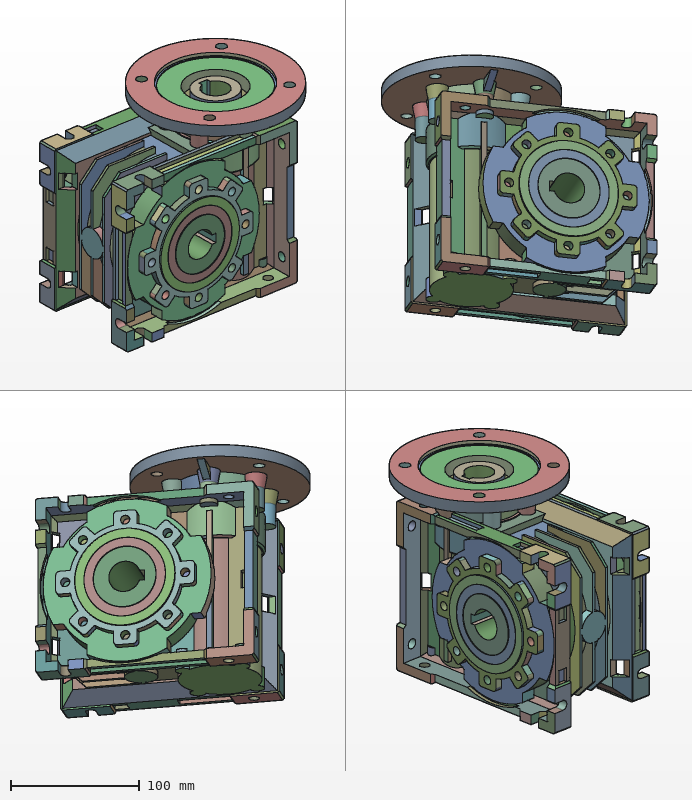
import cadquery as cq
import math


flange_diameter = 140.0
total_length = 205
total_height = 170.0
centre_distance = 63.0
flange_back = centre_distance + flange_diameter / 2
front_y = flange_back - total_length
half_height = 72.0
flange_top = total_height - half_height
back_y = 102.0

pad_step = 1.5
pad_x = 51.9
wall_x = 49.5
slope_x = 34.0
inner_x = 23.4
floor_x = 29.5
tray_front = front_y + pad_step
tray_back = back_y - pad_step
tray_half_height = half_height - pad_step
cavity_front = -63.7
cavity_back = 93.9
cavity_half_height = 63.7
cavity_slope = 4
back_pad_start = 62.0
front_pad_start = -31.4
pad_start_z = 32.0
bolt_diameter = 8.2
bolt_x = 42.8
bolt_offset = 50.0
back_bolt_y = 80
groove_width = 8.5
groove_x = 41.6
groove_depth = 3.0
groove_stop = 20.0
window_x = 32.8
window_z = 43.5
window_height = 14.3
front_window_y = -58.0
back_window_y = 86.5

cover_x = 47.5
lobe_back_x = 34.8
star_x = 54.0
hub_x = 55.5
shaft_x = 56.0
cover_radius = 60.0
cover_lobe_radius = 67.0
cover_recess_radius = 69.0
cover_recess_depth = 1.6
cover_lobe_width = 64.0
star_radius = 44.9
star_tip_radius = 55.3
star_lobe_width = 18.9
star_fillet = 3.0
cover_hole_radius = 47.8
cover_hole_diameter = 7.2
cover_hole_depth = 8.2
cover_hole_count = 8
hub_diameter = 80
seal_diameter = 65.0
seal_depth = 0.5
wheel_shaft_diameter = 50.0
wheel_bore_diameter = 25.0
key_width = 8.2
wheel_key_depth = 15.8

drum_radius = 57.4
fin_reach = 63.0
fin_corner = 16.5
fin_thickness = 2.5
fin_pitch = 14.0
plug_diameter = 26.0
roof_front = 16.8
roof_x = 26.5
drum_bottom = -51.9
keel_x = 21.1
keel_front = -18.5
keel_bottom = -58.8
fin_start_y = 0.6
worm_diameter = 65.2
worm_head_diameter = 70.5
worm_head_bottom = 34.6
worm_head_chamfer = 1.6
worm_rib_width = 4.7
worm_rib_x = 36.5
worm_rib_top = 56.4
worm_rib_bottom = -57.4
foot_radius = 6.1
foot_x = 25.0
foot_offset = 23.4
foot_top = -54.1

flange_thickness = 9.6
flange_bottom = flange_top - flange_thickness
neck_diameter = 65.2
neck_flare_diameter = 69.7
neck_step = 77.3
boss_count = 6
boss_circle_radius = 38.0
boss_radius = 7.0
boss_flare_radius = 9.0
boss_bottom = 60.3
gusset_tip = 65.5
gusset_thickness = 6.0
gusset_base = 79.0
spigot_diameter = 95.0
spigot_floor_diameter = 91.6
spigot_depth = 3.7
spigot_step = 0.8
pit_diameter = 53.5
pit_depth = 12.3
input_shaft_diameter = 40.0
input_shaft_drop = 2
input_bore_diameter = 24.0
input_key_depth = 15.0
input_bore_depth = 45
flange_bolt_radius = 57.5
flange_bolt_diameter = 9.0


def block(x, y, z):
    """Box from its (low, high) limits along each axis."""
    size = (x[1] - x[0], y[1] - y[0], z[1] - z[0])
    return cq.Workplane("XY").box(*size, centered=False).translate((x[0], y[0], z[0]))


def cylinder_x(radius, x0, x1):
    """Cylinder on the wheel axis."""
    return cq.Workplane("YZ").workplane(offset=x0).circle(radius).extrude(x1 - x0)


def cylinder_z(radius, z0, z1, x=0, y=centre_distance):
    """Vertical cylinder, on the worm axis unless placed elsewhere."""
    return cq.Workplane("XY").workplane(offset=z0).center(x, y).circle(radius).extrude(z1 - z0)


def cone_z(bottom_radius, top_radius, z0, z1, x=0, y=centre_distance):
    """Vertical truncated cone, on the worm axis unless placed elsewhere."""
    base = cq.Workplane("XY", origin=(x, y, z0)).circle(bottom_radius)
    return base.workplane(offset=z1 - z0).circle(top_radius).loft()


def tray_body():
    """Frame block, bevelled at 45 degrees on its inner side, with raised corner pads."""
    body = block((inner_x, wall_x), (tray_front, tray_back), (-tray_half_height, tray_half_height))
    body = body.faces("<X").chamfer(slope_x - inner_x)
    for side in (-1, 1):
        z_limits = sorted((side * pad_start_z, side * half_height))
        for y_limits, inner_end in (
            ((front_y, front_pad_start), ">Y"),
            ((back_pad_start, back_y), "<Y"),
        ):
            pad = block((slope_x, pad_x), y_limits, z_limits)
            pad = pad.edges("|X").chamfer(pad_step)
            pad = pad.faces(">X").edges(inner_end).chamfer(pad_x - wall_x)
            pad = pad.faces(">X").edges("<Z" if side > 0 else ">Z").chamfer(pad_x - wall_x)
            body = body.union(pad)
    return body


def tray_cavity():
    """Pocket open to the outside, narrowing at 45 degrees to its floor."""
    cavity = block(
        (floor_x, pad_x),
        (cavity_front, cavity_back),
        (-cavity_half_height, cavity_half_height),
    )
    return cavity.faces("<X").chamfer(cavity_slope)


def bolt_cuts():
    """Open slots at the front corners and round holes at the back corners."""
    radius = bolt_diameter / 2
    cuts = cylinder_z(radius, -half_height, half_height, bolt_x, back_bolt_y)
    cuts = cuts.union(cylinder_z(radius, -half_height, half_height, bolt_x, -bolt_offset))
    cuts = cuts.union(
        block(
            (bolt_x, pad_x),
            (-bolt_offset - radius, -bolt_offset + radius),
            (-half_height, half_height),
        )
    )
    for z in (-bolt_offset, bolt_offset):
        hole = cq.Workplane("XZ").center(bolt_x, z).circle(radius).extrude(back_y - front_y)
        cuts = cuts.union(hole.translate((0, back_y, 0)))
        cuts = cuts.union(
            block(
                (bolt_x, pad_x),
                (front_y, cavity_front),
                (z - radius, z + radius),
            )
        )
    return cuts


def windows():
    """Openings through the bevelled walls: two at the front, one at the back."""
    x_limits = (inner_x, window_x)
    half = window_height / 2
    cuts = block(x_limits, (back_window_y, back_y), (-half, half))
    for z in (-window_z, window_z):
        cuts = cuts.union(block(x_limits, (front_y, front_window_y), (z - half, z + half)))
    return cuts


def grooves(interrupted):
    """Grooves along the outside of the frame between pads, optionally broken beside the cover."""
    x_limits = (groove_x - groove_width / 2, groove_x + groove_width / 2)
    z_bottom = tray_half_height - groove_depth
    top = block(x_limits, (front_pad_start, back_pad_start), (z_bottom, half_height))
    front = block(
        x_limits,
        (front_y, tray_front + groove_depth),
        (-pad_start_z, pad_start_z),
    )
    cuts = top.union(top.mirror("XY")).union(front)
    if interrupted:
        stop = (-groove_stop, groove_stop)
        cuts = cuts.cut(block(x_limits, stop, (-half_height, half_height)))
        cuts = cuts.cut(block(x_limits, (front_y, 0), stop))
    return cuts


def lobes(radius, x0, x1):
    """Four round-ended lobes: a disc cut down to a cross."""
    half = cover_lobe_width / 2
    cross = block((x0, x1), (-half, half), (-radius, radius))
    cross = cross.union(block((x0, x1), (-radius, radius), (-half, half)))
    return cross.intersect(cylinder_x(radius, x0, x1))


def cover():
    """Output cover: lobed disc, eight-armed bolting star and hub."""
    disc = cylinder_x(cover_radius, floor_x, cover_x)
    disc = disc.union(lobes(cover_lobe_radius, lobe_back_x, cover_x))

    star = cylinder_x(star_radius, cover_x, star_x)
    arm = block(
        (cover_x, star_x),
        (0, star_tip_radius),
        (-star_lobe_width / 2, star_lobe_width / 2),
    )
    arm = arm.edges("|X and >Y").fillet(star_fillet)
    for index in range(cover_hole_count):
        angle = index * 360 / cover_hole_count
        star = star.union(arm.rotate((0, 0, 0), (1, 0, 0), angle))

    hub = cylinder_x(hub_diameter / 2, cover_x, hub_x)
    seal = cylinder_x(seal_diameter / 2, hub_x - seal_depth, hub_x)
    shaft = cylinder_x(wheel_shaft_diameter / 2, cover_x, shaft_x)
    holes = (
        cq.Workplane("YZ")
        .workplane(offset=star_x - cover_hole_depth)
        .polarArray(cover_hole_radius, 0, 360, cover_hole_count)
        .circle(cover_hole_diameter / 2)
        .extrude(cover_hole_depth)
    )
    return disc.union(star).cut(holes).union(hub).cut(seal).union(shaft)


def worm_side_details():
    """Worm housing rib and the two bottom bearing screw bosses."""
    half_rib = worm_rib_width / 2
    details = block(
        (floor_x, worm_rib_x),
        (centre_distance - half_rib, centre_distance + half_rib),
        (worm_rib_bottom, worm_rib_top),
    )
    for offset in (-foot_offset, foot_offset):
        foot = cylinder_z(foot_radius, -tray_half_height, foot_top, foot_x, centre_distance + offset)
        details = details.union(foot)
    return details


def side(interrupted):
    """Complete +X side: tray, worm details and cover."""
    tray = tray_body().cut(tray_cavity()).cut(windows())
    recess = lobes(cover_recess_radius, cover_x - cover_recess_depth, wall_x)
    tray = tray.cut(grooves(interrupted)).cut(recess).cut(bolt_cuts())
    return tray.union(worm_side_details()).union(cover())


def centre_body():
    """Finned wheel drum joined to the worm housing between the trays."""
    x_limits = (-inner_x, inner_x)
    body = cylinder_x(drum_radius, *x_limits)
    body = body.union(block(x_limits, (0, centre_distance), (-drum_radius, drum_radius)))
    below = block(x_limits, (-drum_radius, centre_distance), (-drum_radius, drum_bottom))
    keel = block((-keel_x, keel_x), (keel_front, centre_distance), (keel_bottom, drum_bottom))
    body = body.cut(below).union(keel)
    roof = block((-roof_x, roof_x), (roof_front, centre_distance), (drum_radius, fin_reach))
    body = body.union(roof)

    fin = block(
        (-fin_thickness / 2, fin_thickness / 2),
        (-fin_reach, fin_start_y),
        (-fin_reach, fin_reach),
    )
    fin = fin.edges("|X and <Y").chamfer(fin_corner)
    for x in (-fin_pitch, 0, fin_pitch):
        body = body.union(fin.translate((x, 0, 0)))

    front_plug = cq.Workplane("XZ").circle(plug_diameter / 2).extrude(fin_reach)
    bottom_plug = cylinder_z(plug_diameter / 2, -fin_reach, 0, y=0)
    body = body.union(front_plug).union(bottom_plug)

    worm = cylinder_z(worm_diameter / 2, -tray_half_height, tray_half_height)
    worm_head = cylinder_z(worm_head_diameter / 2, worm_head_bottom, cavity_half_height)
    worm_head = worm_head.faces("<Z").chamfer(worm_head_chamfer)
    return body.union(worm).union(worm_head)


def motor_flange():
    """Round flange on a flared neck with six screw bosses and two gussets."""
    flange = cylinder_z(flange_diameter / 2, flange_bottom, flange_top)
    neck = cylinder_z(neck_diameter / 2, cavity_half_height, neck_step)
    neck_flare = cone_z(neck_diameter / 2, neck_flare_diameter / 2, neck_step, flange_bottom)
    flange = flange.union(neck).union(neck_flare)
    for index in range(boss_count):
        angle = 2 * math.pi * index / boss_count
        x = boss_circle_radius * math.cos(angle)
        y = centre_distance + boss_circle_radius * math.sin(angle)
        post = cylinder_z(boss_radius, boss_bottom, neck_step, x, y)
        flare = cone_z(boss_radius, boss_flare_radius, neck_step, flange_bottom, x, y)
        flange = flange.union(post).union(flare)

    gusset_root = boss_circle_radius + boss_radius
    outline = [
        (-gusset_tip, flange_bottom),
        (gusset_tip, flange_bottom),
        (gusset_root, gusset_base),
        (-gusset_root, gusset_base),
    ]
    gusset = cq.Workplane("XZ").polyline(outline).close().extrude(gusset_thickness / 2, both=True)
    return flange.union(gusset.translate((0, centre_distance, 0)))


def flange_cuts():
    """Spigot recess, pit around the keyed input shaft, and the mounting holes."""
    floor_z = flange_top - spigot_depth
    shaft_top = floor_z - input_shaft_drop
    bore_bottom = shaft_top - input_bore_depth
    cuts = cylinder_z(spigot_diameter / 2, floor_z + spigot_step, flange_top)
    cuts = cuts.union(cylinder_z(spigot_floor_diameter / 2, floor_z, flange_top))
    pit = cylinder_z(pit_diameter / 2, floor_z - pit_depth, floor_z)
    pit = pit.cut(cylinder_z(input_shaft_diameter / 2, floor_z - pit_depth, shaft_top))
    bore = cylinder_z(input_bore_diameter / 2, bore_bottom, shaft_top)
    key = block(
        (-input_key_depth, 0),
        (centre_distance - key_width / 2, centre_distance + key_width / 2),
        (bore_bottom, shaft_top),
    )
    holes = (
        cq.Workplane("XY", origin=(0, centre_distance, flange_bottom))
        .polarArray(flange_bolt_radius, 45, 360, 4)
        .circle(flange_bolt_diameter / 2)
        .extrude(flange_thickness)
    )
    return cuts.union(pit).union(bore).union(key).union(holes)


def wheel_bore():
    """Keyed through bore of the hollow output shaft."""
    bore = cylinder_x(wheel_bore_diameter / 2, -shaft_x, shaft_x)
    half_key = key_width / 2
    return bore.union(block((-shaft_x, shaft_x), (0, wheel_key_depth), (-half_key, half_key)))


left_side = side(interrupted=True).mirror("YZ")
right_side = side(interrupted=False)
result = centre_body().union(left_side).union(right_side).union(motor_flange())
result = result.cut(flange_cuts()).cut(wheel_bore())